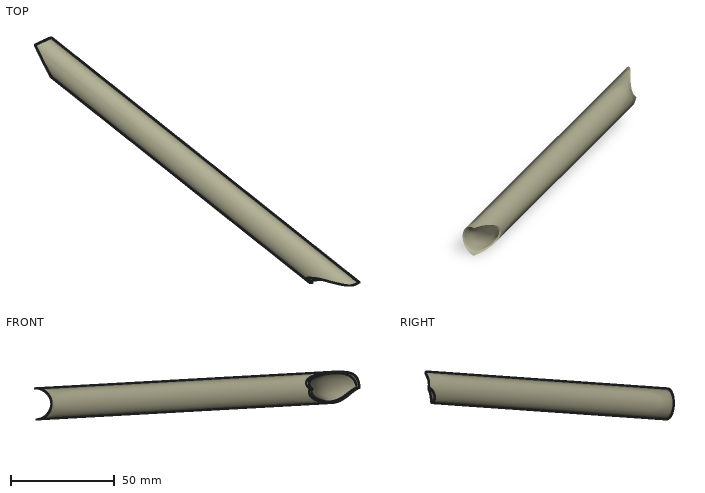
import cadquery as cq
import math

tube_radius = 7.5
wall = 0.8
bore_radius = tube_radius - wall

left_joint = cq.Vector(-77.8, 56.3, -4.1)
tube_heading = -38.5
tube_climb = 2.5
stock_length = 219.7
left_overlap = 31.4

upper_neighbour_point = cq.Vector(62.8, -64.5, 7.5)
upper_neighbour_heading = -5.5
upper_neighbour_climb = -9.1
lower_neighbour_point = cq.Vector(62.8, -64.2, -1.3)
lower_neighbour_heading = 7.5
lower_neighbour_climb = -5.5
neighbour_half_length = 109.8


def axis_direction(heading, climb):
    """Unit vector from a plan heading and a climb angle, both in degrees."""
    h = math.radians(heading)
    c = math.radians(climb)
    return cq.Vector(math.cos(c) * math.cos(h), math.cos(c) * math.sin(h), math.sin(c))


def rod(start, direction, radius, length):
    return cq.Workplane(cq.Solid.makeCylinder(radius, length, start, direction))


def neighbour(point, direction):
    """Solid envelope of a neighbouring tube, centred on a point of its axis."""
    start = point - direction * neighbour_half_length
    return rod(start, direction, tube_radius, 2 * neighbour_half_length)


def main_piece(body):
    """Drop the offcuts beyond the copes, keeping the largest solid."""
    return cq.Workplane(max(body.solids().vals(), key=lambda solid: solid.Volume()))


tube_direction = axis_direction(tube_heading, tube_climb)
stock_start = left_joint - tube_direction * left_overlap
tube = rod(stock_start, tube_direction, tube_radius, stock_length + left_overlap)
tube = tube.cut(rod(stock_start, tube_direction, bore_radius, stock_length + left_overlap))

tube = tube.cut(neighbour(left_joint, cq.Vector(0, 1, 0)))

upper_direction = axis_direction(upper_neighbour_heading, upper_neighbour_climb)
lower_direction = axis_direction(lower_neighbour_heading, lower_neighbour_climb)
tube = tube.cut(neighbour(upper_neighbour_point, upper_direction))
tube = tube.cut(neighbour(lower_neighbour_point, lower_direction))

result = main_piece(tube)